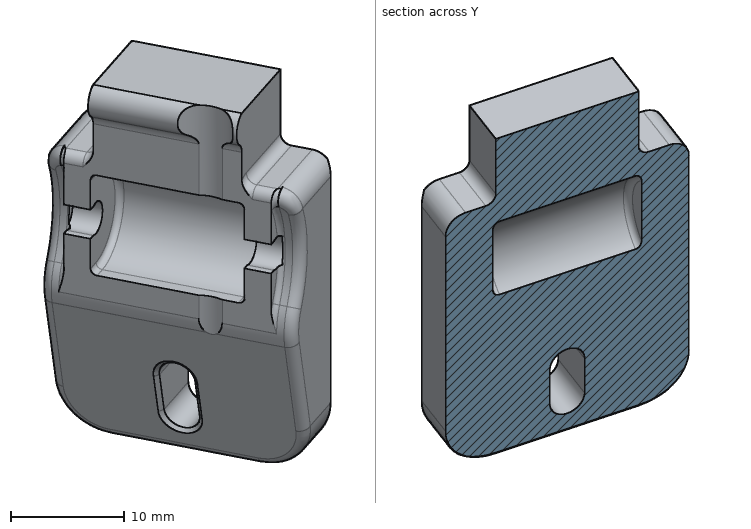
import cadquery as cq
import math

BODY_WIDTH = 24.2
BODY_DEPTH = 9.0
SHOULDER_Z = 29.6
TOTAL_HEIGHT = 37.0
EDGE_RADIUS = 0.99
BACK_CHAMFER = 0.5
TOP_CORNER_RADIUS = 2.0
BOTTOM_CORNER_RADIUS = 5.0

BOTTOM_DEPTH = 5.0
SLOPE_TOP_Z = 15.0
BLEND_RADIUS = 5.0

AXLE_Z = 23.0
SCOOP_FLOOR_DEPTH = 7.0
BLOCK_WIDTH = 19.8
COVE_RADIUS = 0.5

TOWER_WIDTH = 14.2
TOWER_FILLET = 1.0
FOOT_OVERLAP = 0.3
LIP_DEPTH = 10.2
LIP_Z = 35.4
LIP_COVE_RADIUS = 1.1

AXLE_DEPTH = 7.75
ROLLER_RADIUS = 5.0
POCKET_WIDTH = 14.7
POCKET_FILLET = 0.6
AXLE_RADIUS = 1.55
AXLE_MOUTH = 2.9
AXLE_LENGTH = 20.4

GROOVE_X = 4.1
GROOVE_RADIUS = 3.2
GROOVE_AXIS_DEPTH = 12.0

SLOT_WIDTH = 3.4
SLOT_LENGTH = 7.4
SLOT_Z = 6.05
SLOT_CHAMFER = 0.4

CUT_MARGIN = 5.0
QUARTER_TURN = 90
FORWARD_LIMIT = 0.1

slope_angle = math.atan2(BODY_DEPTH - BOTTOM_DEPTH, SLOPE_TOP_Z)
blend_center_depth = BODY_DEPTH - BLEND_RADIUS
blend_top_z = SLOPE_TOP_Z + BLEND_RADIUS * math.tan(slope_angle / 2)

blend_drop = AXLE_Z - blend_top_z
floor_rise = SCOOP_FLOOR_DEPTH - blend_center_depth
scoop_radius = (blend_drop**2 + floor_rise**2 - BLEND_RADIUS**2) / (2 * (BLEND_RADIUS - floor_rise))
scoop_center_depth = SCOOP_FLOOR_DEPTH + scoop_radius


def polar(center, radius, angle):
    """Point at an angle measured from the depth axis towards Z."""
    return (center[0] + radius * math.cos(angle), center[1] + radius * math.sin(angle))


blend_center = (blend_center_depth, blend_top_z)
touch_angle = math.atan2(blend_drop, scoop_center_depth - blend_center_depth)
slope_tangent = polar(blend_center, BLEND_RADIUS, -slope_angle)
blend_mid = polar(blend_center, BLEND_RADIUS, (touch_angle - slope_angle) / 2)
upper_blend_mid = polar(blend_center, BLEND_RADIUS, touch_angle / 2)
scoop_start = polar(blend_center, BLEND_RADIUS, touch_angle)
scoop_low = (SCOOP_FLOOR_DEPTH, AXLE_Z)
scoop_rise = SHOULDER_Z - AXLE_Z
scoop_end = (scoop_center_depth - math.sqrt(scoop_radius**2 - scoop_rise**2), SHOULDER_Z)

round_z = SHOULDER_Z - EDGE_RADIUS
round_depth = scoop_center_depth - math.sqrt((scoop_radius + EDGE_RADIUS) ** 2 - (round_z - AXLE_Z) ** 2)
round_center = (round_depth, round_z)
round_angle = math.atan2(AXLE_Z - round_z, scoop_center_depth - round_depth)
round_start = polar(round_center, EDGE_RADIUS, round_angle)
round_mid = polar(round_center, EDGE_RADIUS, (round_angle + math.pi / 2) / 2)
round_end = (round_depth, SHOULDER_Z)


def depth_plane():
    """Workplane whose local x is depth (-Y) and local y is Z."""
    return cq.Workplane(cq.Plane(origin=(0, 0, 0), xDir=(0, -1, 0), normal=(-1, 0, 0)))


def front_edges(body):
    """Edges where a forward-facing face meets a face that does not face forward."""
    faces = body.faces().vals()
    rim = []
    for edge in body.edges().vals():
        middle = edge.positionAt(0.5)
        facing = [
            face.normalAt(middle).y < -FORWARD_LIMIT
            for face in faces
            if any(edge.isSame(other) for other in face.Edges())
        ]
        if any(facing) and not all(facing):
            rim.append(edge)
    return rim


def side_wings():
    """Full-width body whose front follows the scoop, with its whole front rim rounded."""
    wings = (
        depth_plane()
        .lineTo(BOTTOM_DEPTH, 0)
        .lineTo(*slope_tangent)
        .threePointArc(blend_mid, scoop_start)
        .threePointArc(scoop_low, scoop_end)
        .lineTo(0, SHOULDER_Z)
        .close()
        .extrude(BODY_WIDTH / 2, both=True)
    )
    wings = wings.edges("|Y").edges("<Z").fillet(BOTTOM_CORNER_RADIUS)
    wings = wings.faces(">Y").edges("not(>Z)").chamfer(BACK_CHAMFER)
    wings = wings.faces(">Z").edges("|Y").fillet(TOP_CORNER_RADIUS)
    return wings.newObject(front_edges(wings)).fillet(EDGE_RADIUS)


def scoop_cutter():
    """Space in front of the left wing, rounded where the scoop floor meets the block wall."""
    wall_x = -BLOCK_WIDTH / 2
    front = BODY_DEPTH + CUT_MARGIN
    top = SHOULDER_Z + CUT_MARGIN
    cutter = (
        depth_plane()
        .workplane(offset=-wall_x)
        .moveTo(front, blend_top_z)
        .lineTo(BODY_DEPTH, blend_top_z)
        .threePointArc(upper_blend_mid, scoop_start)
        .threePointArc(scoop_low, round_start)
        .threePointArc(round_mid, round_end)
        .lineTo(-CUT_MARGIN, SHOULDER_Z)
        .lineTo(-CUT_MARGIN, top)
        .lineTo(front, top)
        .close()
        .extrude(BODY_WIDTH / 2 + wall_x)
    )
    return cutter.faces(">X").edges("%CIRCLE").fillet(COVE_RADIUS)


def tower():
    """Upright tongue with a rounded lip along its front top edge."""
    lip_height = TOTAL_HEIGHT - LIP_Z
    lip_overhang = LIP_DEPTH - BODY_DEPTH
    lip_radius = (lip_height**2 + lip_overhang**2) / (2 * lip_overhang)
    lip_center = (LIP_DEPTH - lip_radius, LIP_Z)

    cove_depth = BODY_DEPTH + LIP_COVE_RADIUS
    cove_drop = math.sqrt((lip_radius + LIP_COVE_RADIUS) ** 2 - (cove_depth - lip_center[0]) ** 2)
    cove_center = (cove_depth, LIP_Z - cove_drop)
    cove_angle = math.atan2(cove_drop, lip_center[0] - cove_depth)
    cove_start = polar(cove_center, LIP_COVE_RADIUS, cove_angle)
    cove_mid = polar(cove_center, LIP_COVE_RADIUS, (cove_angle + math.pi) / 2)

    return (
        depth_plane()
        .moveTo(0, AXLE_Z)
        .lineTo(0, TOTAL_HEIGHT)
        .lineTo(BODY_DEPTH, TOTAL_HEIGHT)
        .threePointArc((LIP_DEPTH, LIP_Z), cove_start)
        .threePointArc(cove_mid, (BODY_DEPTH, cove_center[1]))
        .lineTo(BODY_DEPTH, AXLE_Z)
        .close()
        .extrude(TOWER_WIDTH / 2, both=True)
    )


def right_tower_foot():
    """Fillet between the tower side and the shoulder, which follows the shoulder's front round."""
    side_x = TOWER_WIDTH / 2
    foot_x = side_x + TOWER_FILLET
    foot_z = SHOULDER_Z + TOWER_FILLET
    arc_inset = TOWER_FILLET * (1 - math.sqrt(0.5))
    bend_depth = BODY_DEPTH - EDGE_RADIUS
    section = (
        cq.Workplane("XZ")
        .moveTo(side_x - FOOT_OVERLAP, SHOULDER_Z - FOOT_OVERLAP)
        .lineTo(foot_x, SHOULDER_Z - FOOT_OVERLAP)
        .lineTo(foot_x, SHOULDER_Z)
        .threePointArc((side_x + arc_inset, SHOULDER_Z + arc_inset), (side_x, foot_z))
        .lineTo(side_x - FOOT_OVERLAP, foot_z)
        .close()
    )

    straight = section.extrude(bend_depth)
    bend = straight.faces("<Y").wires().toPending().workplane(origin=(0, -bend_depth, round_z))
    bend = bend.revolve(QUARTER_TURN, (0, 0, 0), (1, 0, 0), combine=False)
    front_limit = cq.Workplane("XY").box(BODY_WIDTH, 2 * BODY_DEPTH, 2 * TOTAL_HEIGHT)
    return straight.union(bend).intersect(front_limit)


def upper_corner_trim(side):
    """Waste outside the round of one upper corner; side is 1 for the right and -1 for the left."""
    center_x = BODY_WIDTH / 2 - TOP_CORNER_RADIUS
    center_z = SHOULDER_Z - TOP_CORNER_RADIUS
    waste = (
        cq.Workplane("XZ")
        .moveTo(side * center_x, SHOULDER_Z)
        .radiusArc((side * BODY_WIDTH / 2, center_z), side * TOP_CORNER_RADIUS)
        .lineTo(side * BODY_WIDTH / 2, SHOULDER_Z)
        .close()
    )
    return waste.extrude(BODY_DEPTH)


def axle_block_with_tower():
    """Central block that carries the tower, with coves running down to the scoop floors."""
    block = cq.Workplane("XY").box(
        BLOCK_WIDTH + 2 * COVE_RADIUS,
        BODY_DEPTH,
        SHOULDER_Z - blend_top_z,
        centered=(True, False, False),
    )
    block = block.translate((0, -BODY_DEPTH, blend_top_z))
    block = block.edges("|X and >Z and <Y").fillet(EDGE_RADIUS)
    left_cutter = scoop_cutter()
    block = block.cut(left_cutter).cut(left_cutter.mirror("YZ"))
    right_foot = right_tower_foot()
    return block.union(tower()).union(right_foot).union(right_foot.mirror("YZ"))


def roller_pocket():
    """U-shaped roller trough open to the front, rounded along its end walls."""
    pocket = (
        depth_plane()
        .moveTo(BODY_DEPTH, AXLE_Z + ROLLER_RADIUS)
        .lineTo(AXLE_DEPTH, AXLE_Z + ROLLER_RADIUS)
        .threePointArc((AXLE_DEPTH - ROLLER_RADIUS, AXLE_Z), (AXLE_DEPTH, AXLE_Z - ROLLER_RADIUS))
        .lineTo(BODY_DEPTH, AXLE_Z - ROLLER_RADIUS)
        .close()
        .extrude(POCKET_WIDTH / 2, both=True)
    )
    return pocket.faces("|X").edges("not <Y").fillet(POCKET_FILLET)


def axle_seat():
    """Round axle bore with a narrower mouth at the front, so that the axle snaps in."""
    bore = (
        depth_plane()
        .center(AXLE_DEPTH, AXLE_Z)
        .circle(AXLE_RADIUS)
        .extrude(AXLE_LENGTH / 2, both=True)
    )
    mouth_length = BODY_DEPTH - AXLE_DEPTH
    mouth = (
        cq.Workplane("XY")
        .box(AXLE_LENGTH, mouth_length, AXLE_MOUTH)
        .translate((0, -AXLE_DEPTH - mouth_length / 2, AXLE_Z))
    )
    return bore.union(mouth)


def wire_groove():
    """Shallow vertical groove that crosses the lip and runs out on the slope."""
    return (
        cq.Workplane("XY")
        .center(GROOVE_X, -GROOVE_AXIS_DEPTH)
        .circle(GROOVE_RADIUS)
        .extrude(TOTAL_HEIGHT)
    )


def cut_screw_slot(body):
    """Upright through slot with a chamfered front rim."""
    slot = (
        cq.Workplane("XZ")
        .center(0, SLOT_Z)
        .slot2D(SLOT_LENGTH, SLOT_WIDTH, QUARTER_TURN)
        .extrude(BODY_DEPTH)
    )
    body = body.cut(slot)
    slope_normal = cq.Vector(0, -math.cos(slope_angle), -math.sin(slope_angle))
    slope = body.faces(cq.selectors.ParallelDirSelector(slope_normal))
    rim = slope.val().innerWires()[0]
    return body.newObject(rim.Edges()).chamfer(SLOT_CHAMFER)


body = side_wings().union(axle_block_with_tower())
body = body.cut(upper_corner_trim(1)).cut(upper_corner_trim(-1))
body = body.cut(roller_pocket()).cut(axle_seat()).cut(wire_groove())
result = cut_screw_slot(body)